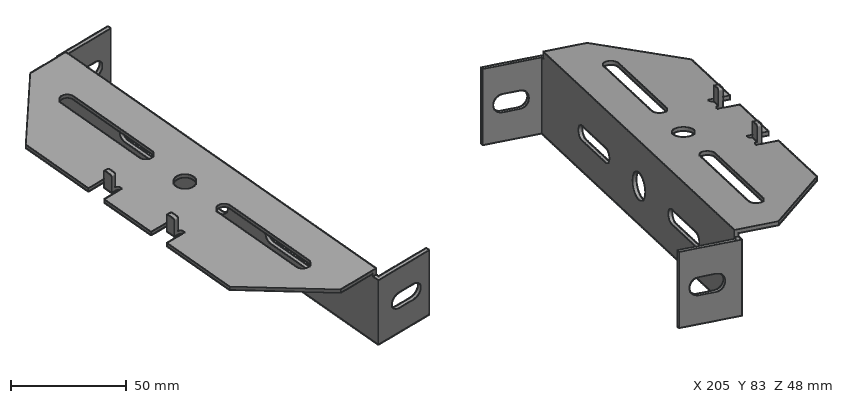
import cadquery as cq
sheet = 2.0
overall_width = 205.0
flange_depth = 30.0
plate_top = 40.0
plate_depth = 55.0
corner_relief = 3.5
corner_cut = 34.0
flange_height = plate_top - corner_relief

plate_slot_length = 57.0
plate_slot_width = 7.0
plate_slot_offset = 50.0
plate_hole_diameter = 10.0
plate_hole_setback = 33.75
wall_slot_length = 32.0
wall_slot_width = 7.0
wall_slot_offset = 46.5
wall_hole_diameter = 13.0
flange_slot_length = 17.0
flange_slot_width = 8.75
flange_slot_setback = 13.5
flange_opening_height = flange_height / 2

tab_offset = 20.0
tab_width = 5.0
tab_thickness = 2.25
tab_height = 8.0
tab_corner_radius = 1.0
tab_setback = 6.75
notch_width = 10.0
notch_depth = 10.5
relief_radius = 1.25

plate_front = sheet - plate_depth
plate_underside = plate_top - sheet
plate_width = overall_width - 2 * corner_relief
plate_hole_y = plate_front + plate_hole_setback
tab_front = plate_front + tab_setback
tab_back = tab_front + tab_thickness
notch_end = plate_front + notch_depth


def box(x_range, y_range, z_range):
    """Axis-aligned block spanning the given ranges."""
    spans = (x_range, y_range, z_range)
    size = [high - low for low, high in spans]
    corner = [low for low, high in spans]
    return cq.Workplane("XY").box(*size, centered=False).translate(tuple(corner))


def make_wall():
    """Front wall with a central hole and a slot on each side."""
    half_width = overall_width / 2
    half_plate = plate_width / 2
    lower = box((-half_width, half_width), (0, sheet), (0, flange_height))
    upper = box((-half_plate, half_plate), (0, sheet), (flange_height, plate_top))
    openings = cq.Workplane("XZ", origin=(0, sheet, flange_opening_height))
    hole = openings.circle(wall_hole_diameter / 2).extrude(sheet)
    slots = (
        openings.pushPoints([(-wall_slot_offset, 0), (wall_slot_offset, 0)])
        .slot2D(wall_slot_length, wall_slot_width)
        .extrude(sheet)
    )
    return lower.union(upper).cut(hole).cut(slots)


def make_side_flanges():
    """Rearward flanges at both ends of the wall, each with a slot."""
    half_width = overall_width / 2
    left = box((-half_width, sheet - half_width), (0, flange_depth), (0, flange_height))
    right = left.mirror("YZ")
    slots = (
        cq.Workplane("YZ", origin=(-half_width, 0, 0))
        .center(flange_depth - flange_slot_setback, flange_opening_height)
        .slot2D(flange_slot_length, flange_slot_width)
        .extrude(overall_width)
    )
    return left.union(right).cut(slots)


def make_notch(center_x):
    """Front-edge notch around a tab; its reliefs are rounded where they meet the tab."""
    half_notch = notch_width / 2
    half_tab = tab_width / 2
    round_start_y = notch_end - relief_radius
    round_end_x = half_tab + relief_radius
    return (
        cq.Workplane("XY", origin=(center_x, 0, plate_underside))
        .moveTo(-half_notch, plate_front)
        .lineTo(-half_notch, notch_end)
        .lineTo(-round_end_x, notch_end)
        .radiusArc((-half_tab, round_start_y), relief_radius)
        .lineTo(-half_tab, tab_front)
        .lineTo(half_tab, tab_front)
        .lineTo(half_tab, round_start_y)
        .radiusArc((round_end_x, notch_end), relief_radius)
        .lineTo(half_notch, notch_end)
        .lineTo(half_notch, plate_front)
        .close()
        .extrude(sheet)
    )


def make_tab(center_x):
    """Upright tab at the inner end of a notch, with rounded top corners."""
    half_tab = tab_width / 2
    return box(
        (center_x - half_tab, center_x + half_tab),
        (tab_front, tab_back),
        (plate_underside, plate_top + tab_height),
    ).edges("|Y and >Z").fillet(tab_corner_radius)


def make_top_plate():
    """Plate reaching forward from the top of the wall, with openings and tabs."""
    half_plate = plate_width / 2
    plate = (
        box((-half_plate, half_plate), (plate_front, sheet), (plate_underside, plate_top))
        .edges("|Z and <Y")
        .chamfer(corner_cut)
    )
    openings = cq.Workplane("XY", origin=(0, plate_hole_y, plate_underside))
    hole = openings.circle(plate_hole_diameter / 2).extrude(sheet)
    slots = (
        openings.pushPoints([(-plate_slot_offset, 0), (plate_slot_offset, 0)])
        .slot2D(plate_slot_length, plate_slot_width)
        .extrude(sheet)
    )
    plate = plate.cut(hole).cut(slots)
    for center_x in (-tab_offset, tab_offset):
        plate = plate.cut(make_notch(center_x)).union(make_tab(center_x))
    return plate


result = make_wall().union(make_side_flanges()).union(make_top_plate())